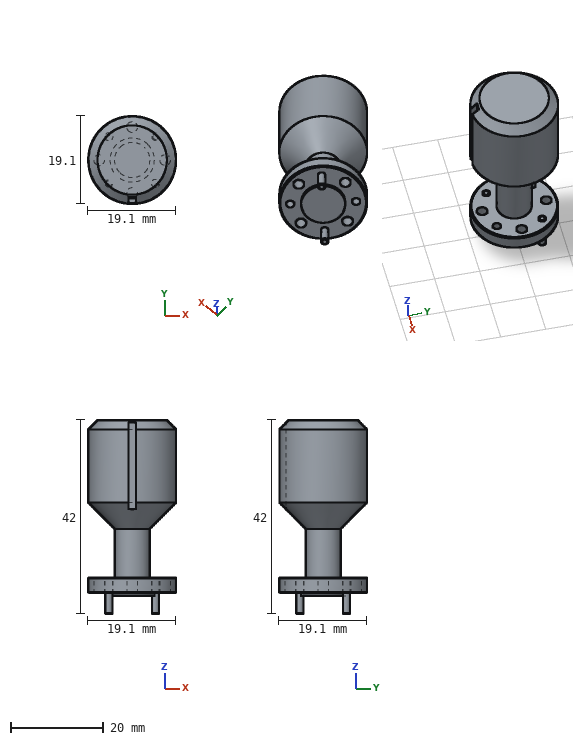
import cadquery as cq
import math

BOSS_BOTTOM = 3.9
FLANGE_BOTTOM = 4.55
FLANGE_TOP = 7.95
DRUM_BOTTOM = 24.15
DRUM_TOP = 41.95

OUTER_RADIUS = 9.53
STEM_RADIUS = 3.8
BOSS_RADIUS = 4.8
DRUM_CHAMFER = 2.0
FLANGE_CHAMFER = 0.25
CONE_BOTTOM = DRUM_BOTTOM - (OUTER_RADIUS - STEM_RADIUS)

BOLT_CIRCLE_RADIUS = 7.15
SCREW_HOLE_DIAMETER = 2.3
SCREW_ANGLES = [0, 90, 180, 270]
DOWEL_HOLE_DIAMETER = 1.75
DOWEL_HOLE_ANGLES = [135, 315]

PIN_DIAMETER = 1.6
PIN_ANGLES = [45, 225]
PIN_CHAMFER = 0.2

SLOT_WIDTH = 1.68
SLOT_FLOOR_RADIUS = 8.05


def bolt_circle_point(angle):
    """XY position on the bolt circle at an angle in degrees from +X."""
    turn = math.radians(angle)
    return (BOLT_CIRCLE_RADIUS * math.cos(turn), BOLT_CIRCLE_RADIUS * math.sin(turn))


def flange_cutters(diameter, angles):
    """Cylinders that pass through the flange on the bolt circle."""
    return (
        cq.Workplane("XY", origin=(0, 0, FLANGE_BOTTOM))
        .pushPoints([bolt_circle_point(angle) for angle in angles])
        .circle(diameter / 2)
        .extrude(FLANGE_TOP - FLANGE_BOTTOM)
    )


def make_turned_blank():
    """Boss, flange, stem and drum as one revolved profile of (radius, height) points."""
    flange_face_radius = OUTER_RADIUS - FLANGE_CHAMFER
    profile = [
        (0, BOSS_BOTTOM),
        (BOSS_RADIUS, BOSS_BOTTOM),
        (BOSS_RADIUS, FLANGE_BOTTOM),
        (flange_face_radius, FLANGE_BOTTOM),
        (OUTER_RADIUS, FLANGE_BOTTOM + FLANGE_CHAMFER),
        (OUTER_RADIUS, FLANGE_TOP - FLANGE_CHAMFER),
        (flange_face_radius, FLANGE_TOP),
        (STEM_RADIUS, FLANGE_TOP),
        (STEM_RADIUS, CONE_BOTTOM),
        (OUTER_RADIUS, DRUM_BOTTOM),
        (OUTER_RADIUS, DRUM_TOP - DRUM_CHAMFER),
        (OUTER_RADIUS - DRUM_CHAMFER, DRUM_TOP),
        (0, DRUM_TOP),
    ]
    return cq.Workplane("XZ").polyline(profile).close().revolve(360, (0, 0, 0), (0, 1, 0))


def make_slot_cutter():
    """Bar that cuts the flat-floored slot through the cone, drum and top chamfer."""
    return cq.Workplane("XY").box(
        SLOT_WIDTH, OUTER_RADIUS, DRUM_TOP - CONE_BOTTOM, centered=(True, False, False)
    ).translate((0, -SLOT_FLOOR_RADIUS - OUTER_RADIUS, CONE_BOTTOM))


def make_housing():
    return (
        make_turned_blank()
        .cut(make_slot_cutter())
        .cut(flange_cutters(SCREW_HOLE_DIAMETER, SCREW_ANGLES))
        .cut(flange_cutters(DOWEL_HOLE_DIAMETER, DOWEL_HOLE_ANGLES))
        .cut(flange_cutters(PIN_DIAMETER, PIN_ANGLES))
    )


def make_pin(angle):
    """Dowel pin chamfered at both ends."""
    return (
        cq.Workplane("XY")
        .center(*bolt_circle_point(angle))
        .circle(PIN_DIAMETER / 2)
        .extrude(FLANGE_TOP)
        .faces("<Z or >Z")
        .chamfer(PIN_CHAMFER)
    )


housing = make_housing()
pins = [make_pin(angle) for angle in PIN_ANGLES]

result = cq.Compound.makeCompound([housing.val(), *[pin.val() for pin in pins]])